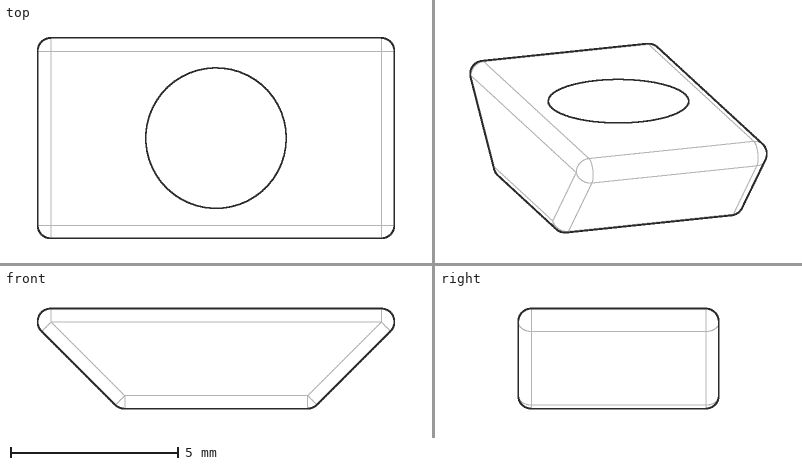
import cadquery as cq

bottom_length = 5.8
width = 6.0
height = 3.0
edge_radius = 0.4
hole_diameter = 4.2
hole_depth = 2.2

top_length = bottom_length + 2 * height


def wedge_body():
    """Trapezoidal bar, centred in X and Y, with all outer edges rounded."""
    profile = (
        cq.Workplane("XZ")
        .moveTo(-bottom_length / 2, 0)
        .lineTo(bottom_length / 2, 0)
        .lineTo(top_length / 2, height)
        .lineTo(-top_length / 2, height)
        .close()
    )
    return profile.extrude(width / 2, both=True).edges().fillet(edge_radius)


def blind_hole():
    """Flat-bottomed cylinder to remove from the middle of the top face."""
    floor_height = height - hole_depth
    return (
        cq.Workplane("XY")
        .workplane(offset=floor_height)
        .circle(hole_diameter / 2)
        .extrude(hole_depth)
    )


result = wedge_body().cut(blind_hole())